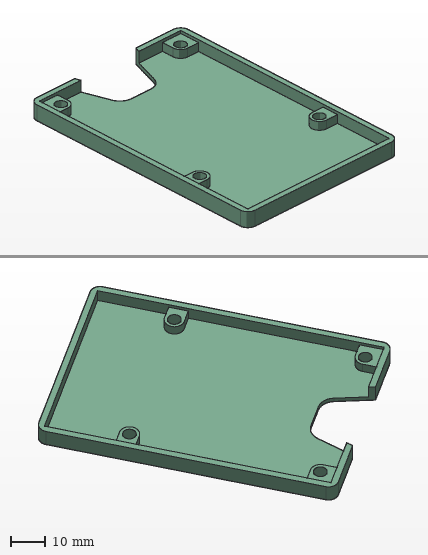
import cadquery as cq

length = 91.0
width = 62.0
height = 5.5
wall = 2.0
floor = 1.5
corner_radius = 3.0

boss_radius = 3.0
boss_height = 3.0
hole_diameter = 4.0
hole_edge_offset = 6.5
hole_spacing_x = 58.0
corner_boss_x = -length / 2 + hole_edge_offset
wall_boss_x = corner_boss_x + hole_spacing_x
boss_y = width / 2 - hole_edge_offset

notch_mouth_width = 25.0
notch_inner_width = 15.0
notch_depth = 15.0
notch_radius = 5.0

inner_length = length - 2 * wall
inner_width = width - 2 * wall


def box_between(x_start, x_end, y_start, y_end):
    """Block of boss height standing on the floor between the given limits."""
    size_x = x_end - x_start
    size_y = y_end - y_start
    return (
        cq.Workplane("XY", origin=(x_start, y_start, floor))
        .box(size_x, size_y, boss_height, centered=False)
    )


def make_tray():
    outer = cq.Workplane("XY").box(length, width, height, centered=(True, True, False))
    outer = outer.edges("|Z").fillet(corner_radius)
    cavity = (
        cq.Workplane("XY", origin=(0, 0, floor))
        .box(inner_length, inner_width, height - floor, centered=(True, True, False))
    )
    return outer.cut(cavity)


def make_wall_boss(x):
    """Rounded boss joined to the +Y wall."""
    post = (
        cq.Workplane("XY", origin=(x, boss_y, floor))
        .circle(boss_radius)
        .extrude(boss_height)
    )
    web = box_between(x - boss_radius, x + boss_radius, boss_y, inner_width / 2)
    return post.union(web)


def make_corner_boss():
    """Boss filling the corner between the -X and +Y walls."""
    side_web = box_between(-inner_length / 2, corner_boss_x, boss_y - boss_radius, inner_width / 2)
    return make_wall_boss(corner_boss_x).union(side_web)


def make_notch():
    left = -length / 2
    inner_end = left + notch_depth
    notch = (
        cq.Workplane("XY")
        .polyline([
            (left, -notch_mouth_width / 2),
            (inner_end, -notch_inner_width / 2),
            (inner_end, notch_inner_width / 2),
            (left, notch_mouth_width / 2),
        ])
        .close()
        .extrude(height)
    )
    return notch.edges("|Z and >X").fillet(notch_radius)


result = make_tray()
for boss in (make_corner_boss(), make_wall_boss(wall_boss_x)):
    result = result.union(boss).union(boss.mirror("XZ"))

hole_centres = [(x, y) for x in (corner_boss_x, wall_boss_x) for y in (-boss_y, boss_y)]
holes = cq.Workplane("XY").pushPoints(hole_centres).circle(hole_diameter / 2).extrude(height)
result = result.cut(holes).cut(make_notch())